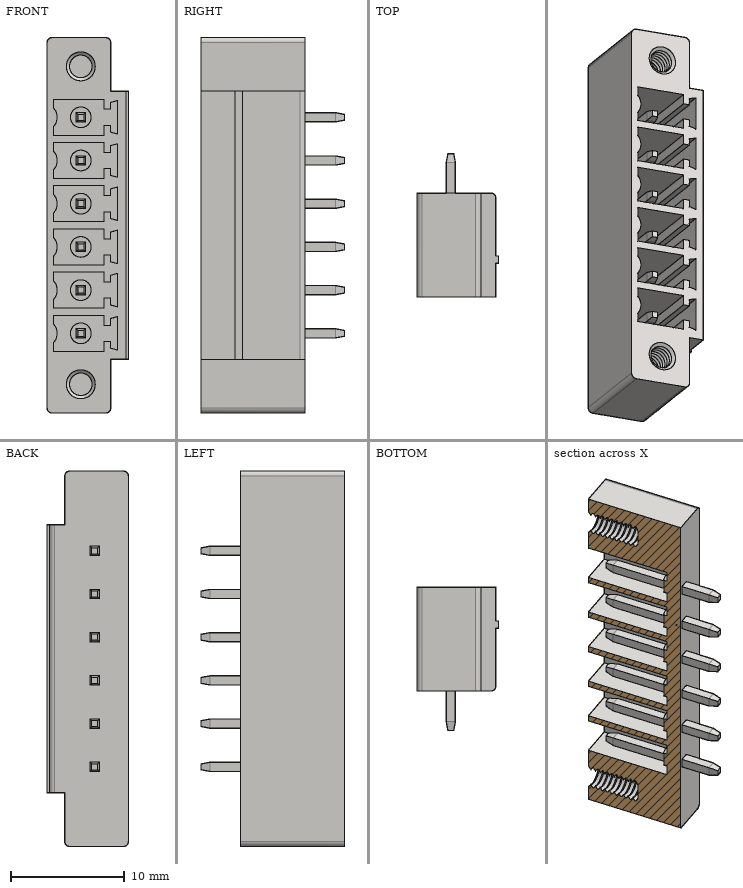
import cadquery as cq
import math


height = 33.25
depth = 9.2
flange_width = 5.65
flange_corner_radius = 0.45
shroud_width = 6.98
shroud_height = 23.75
back_edge_radius = 0.43

rib_front = 3.0
rib_length = 0.65
rib_overhang = 0.23

contact_count = 6
pitch = 3.82
contact_x = 3.0

cavity_depth = 7.8
cavity_left = 0.6
cavity_right = 5.05
cavity_height = 3.2
key_bump_width = 1.63
key_bump_rise = 0.3
neck_height = 1.43
dovetail_start = 5.62
dovetail_end = 6.25
dovetail_start_height = 2.63
dovetail_end_height = 2.95

collar_diameter = 1.83
collar_height = 0.33

pin_width = 0.83
pin_tip_width = 0.53
pin_taper_length = 0.8
pin_tip_inset = 1.55
pin_tail_length = 3.5

screw_from_end = 2.55
thread_major_diameter = 2.55
thread_minor_diameter = 2.0
thread_pitch = 0.45
thread_turns = 10

contact_heights = [(i - (contact_count - 1) / 2) * pitch for i in range(contact_count)]
screw_heights = [side * (height / 2 - screw_from_end) for side in (-1, 1)]


def block(x_start, x_end, y_start, y_end, z_size):
    """Box between the given x and y limits, centred on z = 0."""
    return (
        cq.Workplane("XY")
        .box(x_end - x_start, y_end - y_start, z_size, centered=(False, False, True))
        .translate((x_start, y_start, 0))
    )


def make_housing():
    flange = block(0, flange_width, 0, depth, height).edges("|Y").fillet(flange_corner_radius)
    shroud = block(0, shroud_width, 0, depth, shroud_height)
    shroud = shroud.edges("|Z and >X and >Y").fillet(back_edge_radius)
    rib_side = shroud_width + rib_overhang
    rib = block(flange_width, rib_side, rib_front, rib_front + rib_length, shroud_height)
    return flange.union(shroud).union(rib)


def front_plane(y):
    """Sketch plane facing -Y with local x along X; negative extrusions run into the housing."""
    return cq.Plane(origin=(0, y, 0), xDir=(1, 0, 0), normal=(0, -1, 0))


def make_cavity():
    """Cavity with a key bump on its left side and a dovetail slot on its right."""
    half = cavity_height / 2
    return (
        cq.Workplane(front_plane(0))
        .moveTo(cavity_left, -half)
        .lineTo(cavity_right, -half)
        .lineTo(cavity_right, -neck_height / 2)
        .lineTo(dovetail_start, -neck_height / 2)
        .lineTo(dovetail_start, -dovetail_start_height / 2)
        .lineTo(dovetail_end, -dovetail_end_height / 2)
        .lineTo(dovetail_end, dovetail_end_height / 2)
        .lineTo(dovetail_start, dovetail_start_height / 2)
        .lineTo(dovetail_start, neck_height / 2)
        .lineTo(cavity_right, neck_height / 2)
        .lineTo(cavity_right, half)
        .lineTo(cavity_left, half)
        .lineTo(cavity_left, key_bump_width / 2)
        .threePointArc((cavity_left + key_bump_rise, 0), (cavity_left, -key_bump_width / 2))
        .close()
        .extrude(-cavity_depth)
    )


def make_contact():
    """Square pin tapered at both ends, with the collar at its root."""
    pin_start = pin_tip_inset
    pin_end = depth + pin_tail_length
    shaft_length = pin_end - pin_start - 2 * pin_taper_length
    taper_angle = math.degrees(math.atan((pin_width - pin_tip_width) / 2 / pin_taper_length))
    shaft = (
        cq.Workplane(front_plane(pin_start + pin_taper_length))
        .center(contact_x, 0)
        .rect(pin_width, pin_width)
        .extrude(-shaft_length)
    )
    pin = shaft
    for end_face in ("<Y", ">Y"):
        outline = pin.faces(end_face).wires().toPending().workplane()
        pin = outline.extrude(pin_taper_length, taper=taper_angle)
    collar = (
        cq.Workplane(front_plane(cavity_depth - collar_height))
        .center(contact_x, 0)
        .circle(collar_diameter / 2)
        .extrude(-collar_height)
    )
    return pin.union(collar)


def make_threaded_hole():
    """Blind hole ringed by V-shaped thread grooves, starting at full diameter."""
    major = thread_major_diameter / 2
    minor = thread_minor_diameter / 2
    profile = cq.Workplane("XY").lineTo(major, 0)
    for turn in range(thread_turns):
        profile = profile.lineTo(minor, (turn + 0.5) * thread_pitch)
        profile = profile.lineTo(major, (turn + 1) * thread_pitch)
    end = (thread_turns + 0.5) * thread_pitch
    profile = profile.lineTo(minor, end).lineTo(0, end).close()
    return profile.revolve(360, (0, 0, 0), (0, 1, 0)).translate((contact_x, 0, 0))


result = make_housing()

cavity = make_cavity()
contact = make_contact()
for z in contact_heights:
    result = result.cut(cavity.translate((0, 0, z)))
    result = result.union(contact.translate((0, 0, z)))

threaded_hole = make_threaded_hole()
for z in screw_heights:
    result = result.cut(threaded_hole.translate((0, 0, z)))